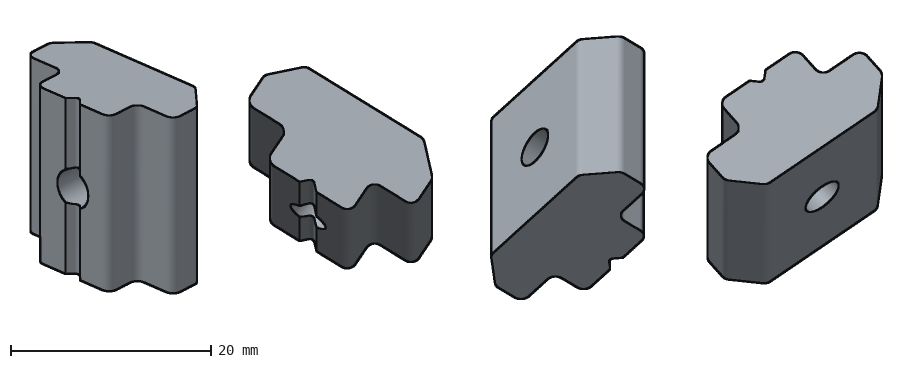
import cadquery as cq

width = 20.0
depth = 10.5
length = 20.0

stem_width = 10.0
stem_depth = 4.0
back_chamfer = 3.0
corner_radius = 1.0

groove_half_width = 1.0
groove_root_radius = 0.45
hole_diameter = 4.2

front_y = -depth / 2
back_y = depth / 2
shoulder_y = front_y + stem_depth


def make_body():
    """Extruded T profile with chamfered back corners and all long edges rounded."""
    half_width = width / 2
    half_stem = stem_width / 2
    right_side = [
        (half_stem, front_y),
        (half_stem, shoulder_y),
        (half_width, shoulder_y),
        (half_width, back_y - back_chamfer),
        (half_width - back_chamfer, back_y),
    ]
    left_side = [(-x, y) for x, y in reversed(right_side)]
    profile = cq.Workplane("XY").polyline(right_side + left_side).close()
    return profile.extrude(length / 2, both=True).edges("|Z").fillet(corner_radius)


def make_groove():
    """Right-angled V cutter with a rounded root."""
    points = [
        (-groove_half_width, front_y),
        (groove_half_width, front_y),
        (0, front_y + groove_half_width),
    ]
    cutter = cq.Workplane("XY").polyline(points).close().extrude(length / 2, both=True)
    return cutter.edges("|Z and >Y").fillet(groove_root_radius)


def make_hole():
    """Cross hole running from the stem face to the back face."""
    return cq.Workplane("XZ").circle(hole_diameter / 2).extrude(depth, both=True)


result = make_body().cut(make_groove()).cut(make_hole())